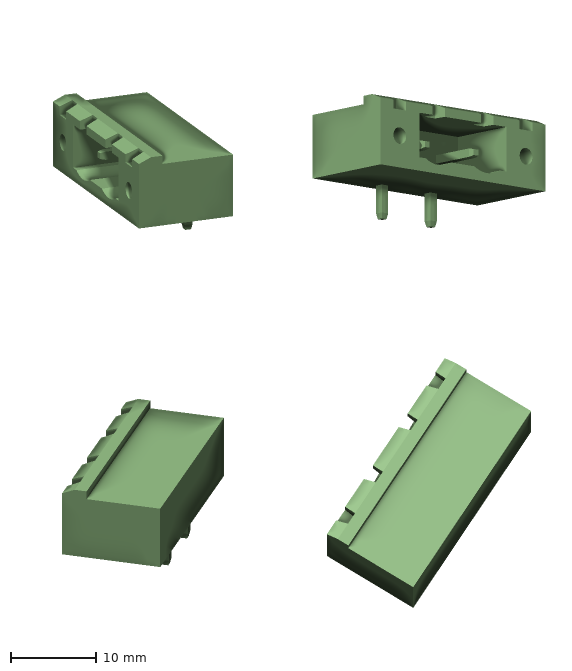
import cadquery as cq

width = 25.82
depth = 12.0
body_height = 7.6
lip_height = 8.6
lip_depth = 3.0
bevel_depth = 1.52
bevel_drop = 0.65

pin_pitch = 7.62
pin_size = 1.0
pin_tip_size = 0.72
pin_tip_length = 0.67
pin_axis_height = 3.8
pin_recess = 2.0
tail_length = 4.0
tail_offset = depth - 2.01

cavity_width = 13.6
cavity_floor = 1.6
cavity_top = 6.92
cavity_depth = 8.52
channel_width = 4.03
channel_drop = 0.57

notch_front_width = 2.0
notch_back_width = 1.55
screw_spacing = 19.78
screw_diameter = 2.0
screw_hole_depth = 5.95

pin_positions = (-pin_pitch / 2, pin_pitch / 2)
screw_positions = (-screw_spacing / 2, screw_spacing / 2)


def make_housing():
    """Block with a raised, bevelled lip along the mating face."""
    profile = [
        (0, 0),
        (depth, 0),
        (depth, body_height),
        (lip_depth, body_height),
        (lip_depth, lip_height),
        (bevel_depth, lip_height),
        (0, lip_height - bevel_drop),
    ]
    return cq.Workplane("YZ").polyline(profile).close().extrude(width / 2, both=True)


def make_cavity():
    """Socket opening, its floor dipping in an arc below each contact."""
    half_width = cavity_width / 2
    outline = cq.Workplane("XZ").moveTo(-half_width, cavity_top).lineTo(-half_width, cavity_floor)
    for x in pin_positions:
        outline = outline.lineTo(x - channel_width / 2, cavity_floor)
        outline = outline.threePointArc(
            (x, cavity_floor - channel_drop), (x + channel_width / 2, cavity_floor)
        )
    outline = outline.lineTo(half_width, cavity_floor).lineTo(half_width, cavity_top).close()
    return outline.extrude(-cavity_depth)


def make_notch(x):
    """Tapered notch through the bevelled edge of the lip, narrowing inwards."""
    outline = [
        (x - notch_front_width / 2, 0),
        (x + notch_front_width / 2, 0),
        (x + notch_back_width / 2, bevel_depth),
        (x - notch_back_width / 2, bevel_depth),
    ]
    notch = cq.Workplane("XY").workplane(offset=cavity_top).polyline(outline).close()
    return notch.extrude(lip_height - cavity_top)


def make_screw_hole(x):
    """Blind round hole in the mating face."""
    hole = cq.Workplane("XZ").center(x, pin_axis_height).circle(screw_diameter / 2)
    return hole.extrude(-screw_hole_depth)


def make_leg(plane, length):
    """Square bar along the plane normal with a tapered far end."""
    shank_length = length - pin_tip_length
    shank = cq.Workplane(plane).rect(pin_size, pin_size).extrude(shank_length)
    tip = (
        cq.Workplane(plane)
        .workplane(offset=shank_length)
        .rect(pin_size, pin_size)
        .workplane(offset=pin_tip_length)
        .rect(pin_tip_size, pin_tip_size)
        .loft(ruled=True)
    )
    return shank.union(tip)


def make_contact(x):
    """Right-angle contact: one leg into the socket, one down through the underside."""
    bend = (x, tail_offset, pin_axis_height)
    forward = cq.Plane(origin=bend, xDir=(1, 0, 0), normal=(0, -1, 0))
    downward = cq.Plane(origin=bend, xDir=(1, 0, 0), normal=(0, 0, -1))
    contact_leg = make_leg(forward, tail_offset - pin_recess)
    tail_leg = make_leg(downward, pin_axis_height + tail_length)
    return contact_leg.union(tail_leg)


result = make_housing().cut(make_cavity())
for x in pin_positions + screw_positions:
    result = result.cut(make_notch(x))
for x in screw_positions:
    result = result.cut(make_screw_hole(x))
for x in pin_positions:
    result = result.union(make_contact(x))